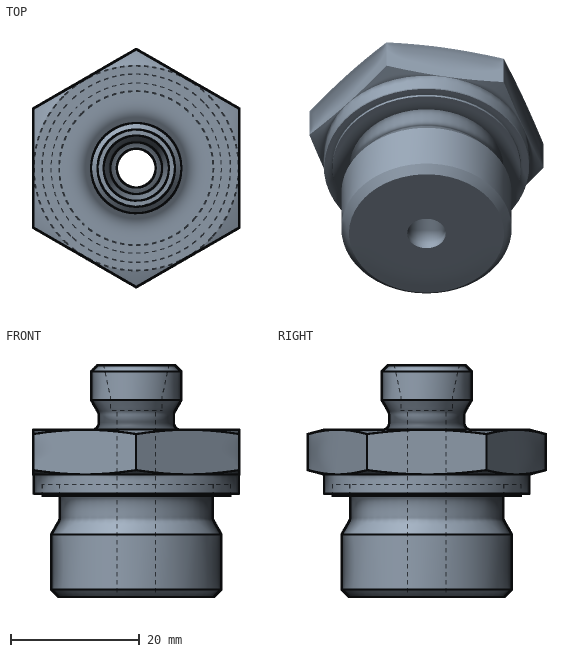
import cadquery as cq
import math

TOTAL_HEIGHT = 36.0
HEX_TOP = 25.98
HEX_BOTTOM = 19.03
FLANGE_BOTTOM = 16.0
SEAL_BOTTOM = 15.65

HEX_POINT_DIAMETER = 36.95
HEX_CHAMFER_ANGLE = math.radians(15)

FLANGE_DIAMETER = 31.9
FLANGE_CHAMFER = 0.1

UNDERCUT_ANGLE = math.radians(30)
UNDERCUT_FILLET = 1.0

LARGE_STUD_DIAMETER = 26.42
LARGE_NECK_DIAMETER = 23.8
LARGE_STUD_TOP = 9.75
LARGE_STUD_CHAMFER = 1.2

SMALL_STUD_DIAMETER = 14.0
SMALL_NECK_DIAMETER = 11.7
SMALL_STUD_BOTTOM = TOTAL_HEIGHT - 5.45
SMALL_STUD_CHAMFER = 1.0
SMALL_NECK_FILLET = 1.0

MOUTH_DIAMETER = 10.12
SOCKET_DIAMETER = 8.0
BORE_DIAMETER = 6.0
MOUTH_HALF_ANGLE = math.radians(12)
SOCKET_DEPTH = 7.02

SEAL_OUTER_DIAMETER = 29.2
SEAL_INNER_DIAMETER = 23.9
GROOVE_OUTER_DIAMETER = 29.3
GROOVE_DEPTH = 1.48
GROOVE_TOP = FLANGE_BOTTOM + GROOVE_DEPTH


def revolve_profile(profile):
    """Turn a closed (radius, height) profile about the Z axis."""
    return profile.close().revolve(360, (0, 0, 0), (0, 1, 0))


def cylinder(diameter, bottom, top):
    return cq.Workplane("XY").workplane(offset=bottom).circle(diameter / 2).extrude(top - bottom)


def ring(outer_diameter, inner_diameter, bottom, top):
    return cylinder(outer_diameter, bottom, top).cut(cylinder(inner_diameter, bottom, top))


def make_stud(stud_diameter, neck_diameter, cylinder_end, tip_chamfer, length):
    """Stud with its tip at Z = 0 and its neck reaching up to the given length."""
    stud_radius = stud_diameter / 2
    neck_radius = neck_diameter / 2
    cone_end = cylinder_end + (stud_radius - neck_radius) / math.tan(UNDERCUT_ANGLE)

    tangent = UNDERCUT_FILLET * math.tan(UNDERCUT_ANGLE / 2)
    cone_tangent = (
        neck_radius + tangent * math.sin(UNDERCUT_ANGLE),
        cone_end - tangent * math.cos(UNDERCUT_ANGLE),
    )
    neck_tangent = (neck_radius, cone_end + tangent)
    half_angle = UNDERCUT_ANGLE / 2
    fillet_middle = (
        neck_radius + UNDERCUT_FILLET * (1 - math.cos(half_angle)),
        neck_tangent[1] - UNDERCUT_FILLET * math.sin(half_angle),
    )
    return revolve_profile(
        cq.Workplane("XZ")
        .moveTo(0, 0)
        .lineTo(stud_radius - tip_chamfer, 0)
        .lineTo(stud_radius, tip_chamfer)
        .lineTo(stud_radius, cylinder_end)
        .lineTo(*cone_tangent)
        .threePointArc(fillet_middle, neck_tangent)
        .lineTo(neck_radius, length)
        .lineTo(0, length)
    )


def make_large_stud():
    return make_stud(
        LARGE_STUD_DIAMETER, LARGE_NECK_DIAMETER, LARGE_STUD_TOP, LARGE_STUD_CHAMFER, HEX_BOTTOM
    )


def make_small_stud():
    stud = make_stud(
        SMALL_STUD_DIAMETER,
        SMALL_NECK_DIAMETER,
        TOTAL_HEIGHT - SMALL_STUD_BOTTOM,
        SMALL_STUD_CHAMFER,
        TOTAL_HEIGHT - HEX_TOP,
    )
    return stud.rotate((0, 0, 0), (1, 0, 0), 180).translate((0, 0, TOTAL_HEIGHT))


def make_neck_fillet():
    """Concave ring that blends the small neck into the top of the hexagon."""
    neck_radius = SMALL_NECK_DIAMETER / 2
    arc_inset = SMALL_NECK_FILLET * (1 - math.sqrt(0.5))
    return revolve_profile(
        cq.Workplane("XZ")
        .moveTo(0, HEX_TOP)
        .lineTo(neck_radius + SMALL_NECK_FILLET, HEX_TOP)
        .threePointArc(
            (neck_radius + arc_inset, HEX_TOP + arc_inset),
            (neck_radius, HEX_TOP + SMALL_NECK_FILLET),
        )
        .lineTo(0, HEX_TOP + SMALL_NECK_FILLET)
    )


def make_hexagon():
    """Hexagon with points on the Y axis, trimmed by a cone above and below."""
    prism = (
        cq.Workplane("XY")
        .workplane(offset=HEX_BOTTOM)
        .polygon(6, HEX_POINT_DIAMETER)
        .extrude(HEX_TOP - HEX_BOTTOM)
        .rotate((0, 0, 0), (0, 0, 1), 90)
    )
    face_radius = FLANGE_DIAMETER / 2
    point_radius = HEX_POINT_DIAMETER / 2
    point_drop = (point_radius - face_radius) * math.tan(HEX_CHAMFER_ANGLE)
    envelope = revolve_profile(
        cq.Workplane("XZ")
        .moveTo(0, HEX_BOTTOM)
        .lineTo(face_radius, HEX_BOTTOM)
        .lineTo(point_radius, HEX_BOTTOM + point_drop)
        .lineTo(point_radius, HEX_TOP - point_drop)
        .lineTo(face_radius, HEX_TOP)
        .lineTo(0, HEX_TOP)
    )
    return prism.intersect(envelope)


def make_flange():
    flange = cylinder(FLANGE_DIAMETER, FLANGE_BOTTOM, HEX_BOTTOM)
    return flange.faces("<Z").edges().chamfer(FLANGE_CHAMFER)


def make_bore():
    """Cutter for the through hole, the tube socket and its tapered mouth."""
    mouth_radius = MOUTH_DIAMETER / 2
    socket_radius = SOCKET_DIAMETER / 2
    bore_radius = BORE_DIAMETER / 2
    socket_bottom = TOTAL_HEIGHT - SOCKET_DEPTH
    taper_bottom = TOTAL_HEIGHT - (mouth_radius - socket_radius) / math.tan(MOUTH_HALF_ANGLE)
    return revolve_profile(
        cq.Workplane("XZ")
        .moveTo(0, 0)
        .lineTo(bore_radius, 0)
        .lineTo(bore_radius, socket_bottom)
        .lineTo(socket_radius, socket_bottom)
        .lineTo(socket_radius, taper_bottom)
        .lineTo(mouth_radius, TOTAL_HEIGHT)
        .lineTo(0, TOTAL_HEIGHT)
    )


def make_fitting():
    seal_groove = ring(GROOVE_OUTER_DIAMETER, LARGE_NECK_DIAMETER, FLANGE_BOTTOM, GROOVE_TOP)
    return (
        make_hexagon()
        .union(make_flange())
        .union(make_large_stud())
        .union(make_small_stud())
        .union(make_neck_fillet())
        .cut(seal_groove)
        .cut(make_bore())
    )


def make_seal():
    """Ring seated on the groove roof and standing slightly proud of the collar."""
    return ring(SEAL_OUTER_DIAMETER, SEAL_INNER_DIAMETER, SEAL_BOTTOM, GROOVE_TOP)


fitting = make_fitting()
seal = make_seal()

result = cq.Compound.makeCompound([fitting.val(), seal.val()])